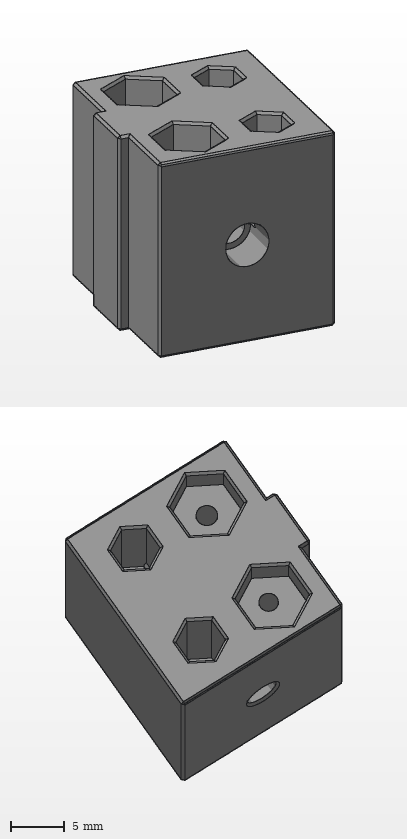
import cadquery as cq
import math

block_width = 20.0
block_depth = 18.0
block_height = 20.0
edge_chamfer = 0.25

bevel_drop = 0.35
bevel_inset = 0.08

key_width = 6.0
key_projection = 1.0

socket_offset_x = 5.5
socket_offset_y = 4.0
small_socket_flats = 4.0
small_socket_depth = 10.0
large_socket_flats = 6.0
large_socket_depth = 3.0

floor_holes = [(-4.9, 1.8), (5.5, 2.0)]

screw_hole_diameter = 3.2
insert_bore_diameter = 4.4
insert_bore_depth = 4.2

top_z = block_height / 2
side_x = block_width / 2


def make_body():
    """Block and key in one outline, with every edge chamfered except the key's root corners."""
    front_y = -block_depth / 2
    key_depth = 2 * key_projection
    block = cq.Workplane("XY").box(block_width, block_depth, block_height)
    key = cq.Workplane("XY").box(key_width, key_depth, block_height).translate((0, front_y, 0))
    body = block.union(key)
    root_corners = cq.selectors.BoxSelector(
        (-key_width, front_y - key_projection / 2, -block_height),
        (key_width, front_y + key_projection / 2, block_height),
    )
    corners = body.edges("|Z").edges(cq.selectors.InverseSelector(root_corners))
    rims = body.faces("|Z").edges()
    return corners.add(rims).chamfer(edge_chamfer)


def bevel_top_sides(body):
    """Bevel the lower rim of the top chamfer along the -X and +X faces."""
    meeting_drop = edge_chamfer - bevel_inset
    for side in (-1, 1):
        wedge = (
            cq.Workplane("XZ")
            .moveTo(side * side_x, top_z - bevel_drop)
            .lineTo(side * (side_x - bevel_inset), top_z - meeting_drop)
            .lineTo(side * side_x, top_z - meeting_drop)
            .close()
            .extrude(block_depth, both=True)
        )
        body = body.cut(wedge)
    return body


def corner_diameter(flats):
    """Distance across the corners of a hexagon, from its distance across flats."""
    return flats / math.cos(math.pi / 6)


def make_socket(flats, depth):
    """Hexagonal socket cutter, two corners on X, with a 45 degree lead-in at the top."""
    mouth_flats = flats + 2 * edge_chamfer
    shaft = (
        cq.Workplane("XY")
        .workplane(offset=top_z - depth)
        .polygon(6, corner_diameter(flats))
        .extrude(depth)
    )
    lead_in = (
        cq.Workplane("XY")
        .workplane(offset=top_z)
        .polygon(6, corner_diameter(mouth_flats))
        .workplane(offset=-edge_chamfer)
        .polygon(6, corner_diameter(flats))
        .loft(ruled=True)
    )
    return shaft.union(lead_in)


def x_bore(start_x, diameter, length):
    """Round cutter along X, running from start_x towards +X."""
    return cq.Workplane("YZ").workplane(offset=start_x).circle(diameter / 2).extrude(length)


def lead_in_cone(diameter):
    """Cone that chamfers the mouth of a round hole in the -X face."""
    mouth_radius = diameter / 2 + edge_chamfer
    cone = cq.Solid.makeCone(
        mouth_radius,
        diameter / 2,
        edge_chamfer,
        pnt=cq.Vector(-side_x, 0, 0),
        dir=cq.Vector(1, 0, 0),
    )
    return cq.Workplane(cone)


def cut_sockets(body):
    small_socket = make_socket(small_socket_flats, small_socket_depth)
    large_socket = make_socket(large_socket_flats, large_socket_depth)
    for x in (-socket_offset_x, socket_offset_x):
        body = body.cut(small_socket.translate((x, socket_offset_y, 0)))
        body = body.cut(large_socket.translate((x, -socket_offset_y, 0)))
    return body


def cut_floor_holes(body):
    for x, diameter in floor_holes:
        hole = cq.Workplane("XY").circle(diameter / 2).extrude(block_height, both=True)
        body = body.cut(hole.translate((x, -socket_offset_y, 0)))
    return body


def cut_screw_hole(body):
    body = body.cut(x_bore(-side_x, screw_hole_diameter, block_width))
    body = body.cut(lead_in_cone(screw_hole_diameter))
    return body.cut(x_bore(side_x - insert_bore_depth, insert_bore_diameter, insert_bore_depth))


body = bevel_top_sides(make_body())
body = cut_sockets(body)
body = cut_floor_holes(body)
result = cut_screw_hole(body)